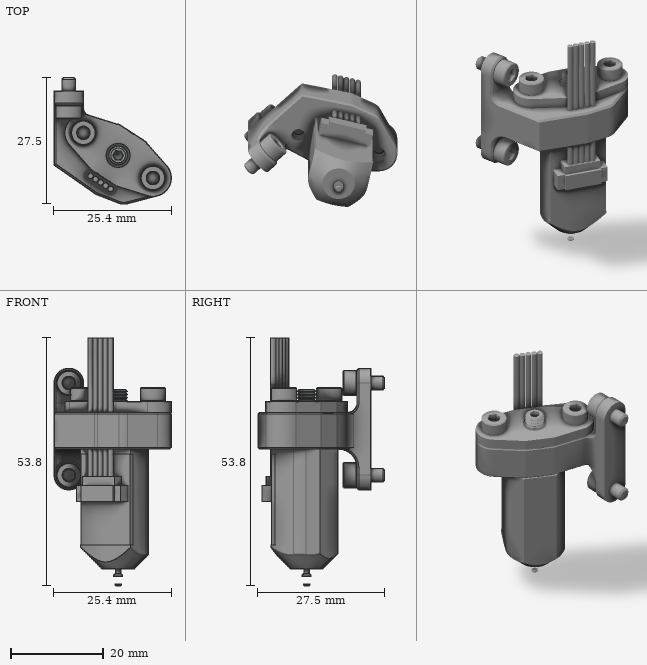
import cadquery as cq
import math

PROBE_ANGLE = -33.0

SHANK_D = 3.0
SHANK_LENGTH = 6.0
TIP_CHAMFER = 0.4
HEAD_D = 5.5
HEAD_HEIGHT = 3.0
HEAD_CHAMFER = 0.2
SOCKET_FLATS = 2.5
SOCKET_DEPTH = 2.2
SOCKET_MOUTH_D = 2.9
CLEARANCE_D = 3.2
HEAD_CLEARANCE_D = 6.3

SLAB_THICKNESS = 8.0
EDGE_CHAMFER = 0.4
PLATE_LEFT = -13.9
PLATE_RADIUS = 3.2
PLATE_BACK = 13.93
PLATE_THICKNESS = 3.0
MOUNT_SPACING = 20.0
UPPER_MOUNT_Z = 6.36
UPPER_FILLET = 2.0
LOWER_FILLET = 4.0
SIDE_FILLET = 1.5
STEM_LENGTH = 5.0
FRONT_FILLET = 3.0
LEFT_CORNER = (PLATE_LEFT, -2.1)
FRONT_LEFT_CORNER = (-4.82, -8.45)
FRONT_CORNER = (1.05, -10.74)

PLATE_RIGHT = PLATE_LEFT + 2 * PLATE_RADIUS
PLATE_CENTRE_X = PLATE_LEFT + PLATE_RADIUS
PLATE_FRONT = PLATE_BACK - PLATE_THICKNESS
LOWER_MOUNT_Z = UPPER_MOUNT_Z - MOUNT_SPACING

FLANGE_THICKNESS = 2.34
FLANGE_SPACING = 18.0
FLANGE_SCREW_U = (-FLANGE_SPACING / 2, FLANGE_SPACING / 2)
FLANGE_END_R = 4.0
FLANGE_HALF_DEPTH = 5.77
FLANGE_FLAT_HALF = 3.2
NECK_D = 11.0
BODY_HALF_WIDTH = 6.5
BODY_FRONT = -5.0
BODY_SHOULDER = 0.82
BODY_ROUND_R = 4.1
BODY_ROUND_ANGLE = 40.0
BODY_BOTTOM = -33.97
CONE_ROUNDING = 0.25
CONE_TIP_R = 3.5
PIN_D = 1.2
PIN_DISC_BOTTOM = -35.65
PIN_DISC_D = 2.0
PIN_DISC_HEIGHT = 0.3
PIN_FLARE = 0.4
THREAD_MAJOR_R = 2.0
THREAD_MINOR_R = 1.6
THREAD_PITCH = 0.7
THREAD_TURNS = 4
SET_SCREW_HEIGHT = 2.58
SET_SCREW_SOCKET = 2.0
SET_SCREW_SOCKET_DEPTH = 1.5
RECESS_D = 5.2
RECESS_DEPTH = 0.2

COVER_TOP = -9.04
COVER_BOTTOM = -28.78
COVER_THICKNESS = 1.0
COVER_HALF_WIDTH = 6.38
HOUSING_TOP = -13.9
HOUSING_STEP = -15.85
HOUSING_BOTTOM = -19.4
HOUSING_HALF_WIDTH = 5.75
HOUSING_FRONT = -7.82
RIB_HALF_WIDTH = 4.1
RIB_FRONT = -8.45
WIRE_D = 1.2
WIRE_COUNT = 5
WIRE_PITCH = 1.3
WIRE_V = -7.0
WIRE_TOP = 16.16

TIP_BOTTOM = -37.64
TIP_HEIGHT = 0.4
TIP_D = 1.4
TIP_END_CHAMFER = 0.2


def box(left, right, front, back, bottom, top):
    """Box given by its six faces."""
    size = (right - left, back - front, top - bottom)
    return cq.Workplane("XY").box(*size, centered=False).translate((left, front, bottom))


def cylinder(diameter, bottom, top, x=0.0):
    """Upright cylinder."""
    return cq.Workplane("XY", origin=(x, 0, bottom)).circle(diameter / 2).extrude(top - bottom)


def cone(diameter, top):
    """Upright 45-degree cone with its point down and its widest end at the given height."""
    radius = diameter / 2
    tip_point = cq.Vector(0, 0, top - radius)
    return cq.Workplane("XY").add(cq.Solid.makeCone(0, radius, radius, pnt=tip_point))


def turned(shape):
    """Turn a shape built along X and Y so that it lies along the probe's U and V."""
    return shape.rotate((0, 0, 0), (0, 0, 1), PROBE_ANGLE)


def in_place(u, v):
    """X and Y of a point given along the probe's U and V."""
    a = math.radians(PROBE_ANGLE)
    return (u * math.cos(a) - v * math.sin(a), u * math.sin(a) + v * math.cos(a))


def make_flange_plate():
    """Rounded ends joined by tangent lines to a flat on the front and on the back."""
    end_x = FLANGE_SPACING / 2
    to_corner_x = end_x - FLANGE_FLAT_HALF
    lean = math.atan2(FLANGE_HALF_DEPTH, to_corner_x)
    spread = math.acos(FLANGE_END_R / math.hypot(to_corner_x, FLANGE_HALF_DEPTH))
    normal = math.pi - lean - spread
    tangent_x = end_x + FLANGE_END_R * math.cos(normal)
    tangent_y = FLANGE_END_R * math.sin(normal)
    far_x = end_x + FLANGE_END_R
    return (
        cq.Workplane("XY")
        .moveTo(-FLANGE_FLAT_HALF, FLANGE_HALF_DEPTH)
        .lineTo(FLANGE_FLAT_HALF, FLANGE_HALF_DEPTH)
        .lineTo(tangent_x, tangent_y)
        .threePointArc((far_x, 0), (tangent_x, -tangent_y))
        .lineTo(FLANGE_FLAT_HALF, -FLANGE_HALF_DEPTH)
        .lineTo(-FLANGE_FLAT_HALF, -FLANGE_HALF_DEPTH)
        .lineTo(-tangent_x, -tangent_y)
        .threePointArc((-far_x, 0), (-tangent_x, tangent_y))
        .close()
        .extrude(FLANGE_THICKNESS)
    )


def make_screw():
    """Socket-head screw along Z, with its head resting on Z = 0 and its shank below."""
    head = cylinder(HEAD_D, 0, HEAD_HEIGHT).faces("<Z or >Z").chamfer(HEAD_CHAMFER)
    shank = cylinder(SHANK_D, -SHANK_LENGTH, 0).faces("<Z").chamfer(TIP_CHAMFER)
    socket = (
        cq.Workplane("XY", origin=(0, 0, HEAD_HEIGHT))
        .polygon(6, SOCKET_FLATS, circumscribed=True)
        .extrude(-SOCKET_DEPTH)
    )
    mouth = cone(SOCKET_MOUTH_D, HEAD_HEIGHT)
    return head.union(shank).cut(socket).cut(mouth)


def wire_positions():
    """Centres of the wires, in a row along U."""
    first = -WIRE_PITCH * (WIRE_COUNT - 1) / 2
    return [(first + i * WIRE_PITCH, WIRE_V) for i in range(WIRE_COUNT)]


def make_wires(bottom, top):
    """Row of round wires, used for the wires and for their holes in the bracket."""
    return (
        cq.Workplane("XY", origin=(0, 0, bottom))
        .pushPoints(wire_positions())
        .circle(WIRE_D / 2)
        .extrude(top - bottom)
    )


def tangent_point(corner, centre, radius, side):
    """Where a line from a corner touches a circle, counterclockwise (+1) or clockwise (-1) of it."""
    dx = corner[0] - centre[0]
    dy = corner[1] - centre[1]
    a = math.atan2(dy, dx) + side * math.acos(radius / math.hypot(dx, dy))
    return (centre[0] + radius * math.cos(a), centre[1] + radius * math.sin(a))


def make_slab():
    """Horizontal slab under the flange, reaching back to the mounting plate."""
    end = in_place(FLANGE_SPACING / 2, 0)
    start_end = in_place(-FLANGE_SPACING / 2, 0)
    back_right = in_place(FLANGE_FLAT_HALF, FLANGE_HALF_DEPTH)
    back_left = in_place(-FLANGE_FLAT_HALF, FLANGE_HALF_DEPTH)
    front_touch = tangent_point(FRONT_CORNER, end, FLANGE_END_R, 1)
    back_touch = tangent_point(back_right, end, FLANGE_END_R, -1)
    far_end = in_place(FLANGE_SPACING / 2 + FLANGE_END_R, 0)
    left_touch = tangent_point(back_left, start_end, FLANGE_END_R, 1)
    slope = (left_touch[1] - back_left[1]) / (left_touch[0] - back_left[0])
    side_corner = (PLATE_RIGHT, back_left[1] + slope * (PLATE_RIGHT - back_left[0]))
    slab = (
        cq.Workplane("XY", origin=(0, 0, -SLAB_THICKNESS))
        .moveTo(PLATE_LEFT, PLATE_BACK)
        .lineTo(*LEFT_CORNER)
        .lineTo(*FRONT_LEFT_CORNER)
        .lineTo(*FRONT_CORNER)
        .lineTo(*front_touch)
        .threePointArc(far_end, back_touch)
        .lineTo(*back_right)
        .lineTo(*back_left)
        .lineTo(*side_corner)
        .lineTo(PLATE_RIGHT, PLATE_BACK)
        .close()
        .extrude(SLAB_THICKNESS)
    )
    middle = -SLAB_THICKNESS / 2
    for corner in (FRONT_LEFT_CORNER, FRONT_CORNER):
        slab = slab.edges(cq.NearestToPointSelector((*corner, middle))).fillet(FRONT_FILLET)
    return slab.edges(cq.NearestToPointSelector((*side_corner, middle))).fillet(SIDE_FILLET)


def make_plate():
    """Upright plate with round ends, joined to a stem of the slab by a concave fillet above and below."""
    length = MOUNT_SPACING + 2 * PLATE_RADIUS
    plate = (
        cq.Workplane("XZ", origin=(PLATE_CENTRE_X, PLATE_BACK, (UPPER_MOUNT_Z + LOWER_MOUNT_Z) / 2))
        .slot2D(length, 2 * PLATE_RADIUS, 90)
        .extrude(PLATE_THICKNESS)
    )
    stem = box(PLATE_LEFT, PLATE_RIGHT, PLATE_FRONT - STEM_LENGTH, PLATE_FRONT, -SLAB_THICKNESS, 0)
    plate = plate.union(stem)
    for level, radius in ((0, UPPER_FILLET), (-SLAB_THICKNESS, LOWER_FILLET)):
        corner = cq.NearestToPointSelector((PLATE_CENTRE_X, PLATE_FRONT, level))
        plate = plate.edges(corner).fillet(radius)
    tolerance = 0.01
    room = length + SLAB_THICKNESS
    rim = cq.selectors.BoxSelector(
        (PLATE_LEFT - room, PLATE_FRONT - STEM_LENGTH + tolerance, -room),
        (PLATE_RIGHT + room, PLATE_FRONT + tolerance, room),
    )
    crossing = cq.selectors.BoxSelector(
        (PLATE_CENTRE_X - tolerance, -room, LOWER_MOUNT_Z),
        (PLATE_CENTRE_X + tolerance, room, UPPER_MOUNT_Z),
    )
    return plate.edges(rim - crossing).chamfer(EDGE_CHAMFER)


def facing_front(shape, z):
    """Lay an upright shape down so that its top faces -Y, with its origin on the plate's front face."""
    return shape.rotate((0, 0, 0), (1, 0, 0), 90).translate((PLATE_CENTRE_X, PLATE_FRONT, z))


def make_bracket():
    """Slab and plate with the holes for the probe's neck, the wires and the screws."""
    slab = make_slab().faces("<Z or >Z").chamfer(EDGE_CHAMFER)
    bracket = slab.union(make_plate()).clean()
    neck_hole = cylinder(NECK_D, -SLAB_THICKNESS, 0)
    neck_bevel = cone(NECK_D + 2 * EDGE_CHAMFER, 0)
    bracket = bracket.cut(neck_hole).cut(neck_bevel)
    bracket = bracket.cut(turned(make_wires(-SLAB_THICKNESS, 0)))
    for x in FLANGE_SCREW_U:
        bracket = bracket.cut(turned(cylinder(SHANK_D, -SLAB_THICKNESS, 0, x)))
    for z in (UPPER_MOUNT_Z, LOWER_MOUNT_Z):
        hole = cylinder(CLEARANCE_D, -PLATE_THICKNESS, 0)
        head_room = cylinder(HEAD_CLEARANCE_D, 0, HEAD_HEIGHT)
        bracket = bracket.cut(facing_front(hole.union(head_room), z))
    return bracket


def make_body():
    """Flat-fronted probe body with a rounded back, ending in a cone."""
    round_x = BODY_HALF_WIDTH - BODY_ROUND_R
    a = math.radians(BODY_ROUND_ANGLE)
    half = a / 2
    mid = (round_x + BODY_ROUND_R * math.cos(half), BODY_SHOULDER + BODY_ROUND_R * math.sin(half))
    end = (round_x + BODY_ROUND_R * math.cos(a), BODY_SHOULDER + BODY_ROUND_R * math.sin(a))
    back_x = end[0] - (FLANGE_HALF_DEPTH - end[1]) * math.tan(a)
    body = (
        cq.Workplane("XY", origin=(0, 0, BODY_BOTTOM))
        .moveTo(-BODY_HALF_WIDTH, BODY_FRONT)
        .lineTo(BODY_HALF_WIDTH, BODY_FRONT)
        .lineTo(BODY_HALF_WIDTH, BODY_SHOULDER)
        .threePointArc(mid, end)
        .lineTo(back_x, FLANGE_HALF_DEPTH)
        .lineTo(-back_x, FLANGE_HALF_DEPTH)
        .lineTo(-end[0], end[1])
        .threePointArc((-mid[0], mid[1]), (-BODY_HALF_WIDTH, BODY_SHOULDER))
        .close()
        .extrude(-SLAB_THICKNESS - BODY_BOTTOM)
    )
    cone_top_r = CONE_TIP_R - SLAB_THICKNESS - BODY_BOTTOM
    nose = (
        cq.Workplane("XZ")
        .moveTo(0, BODY_BOTTOM)
        .lineTo(CONE_TIP_R, BODY_BOTTOM)
        .lineTo(cone_top_r, -SLAB_THICKNESS)
        .lineTo(0, -SLAB_THICKNESS)
        .close()
        .revolve(360, (0, 0, 0), (0, 1, 0))
    )
    body = body.intersect(nose)
    nose_edge_z = BODY_BOTTOM + BODY_HALF_WIDTH - CONE_TIP_R
    nose_edge = cq.NearestToPointSelector((BODY_HALF_WIDTH, 0, nose_edge_z))
    return body.edges(nose_edge).fillet(CONE_ROUNDING)


def make_set_screw():
    """Threaded stub on top of the flange, with ring-shaped threads and a socket ending in a cone."""
    top = FLANGE_THICKNESS + SET_SCREW_HEIGHT
    profile = cq.Workplane("XZ").moveTo(0, 0).lineTo(THREAD_MINOR_R, 0)
    first = top - THREAD_TURNS * THREAD_PITCH
    for i in range(THREAD_TURNS):
        root = first + i * THREAD_PITCH
        profile = profile.lineTo(THREAD_MINOR_R, root)
        profile = profile.lineTo(THREAD_MAJOR_R, root + THREAD_PITCH / 2)
    profile = profile.lineTo(THREAD_MINOR_R, top).lineTo(0, top).close()
    screw = profile.revolve(360, (0, 0, 0), (0, 1, 0))
    socket_bottom = top - SET_SCREW_SOCKET_DEPTH
    socket = (
        cq.Workplane("XY", origin=(0, 0, socket_bottom))
        .polygon(6, SET_SCREW_SOCKET, circumscribed=True)
        .extrude(SET_SCREW_SOCKET_DEPTH)
    )
    return screw.cut(socket).cut(cone(SET_SCREW_SOCKET, socket_bottom))


def make_pin():
    """Pin under the nose, flaring into a thin disc."""
    flare_bottom = PIN_DISC_BOTTOM + PIN_DISC_HEIGHT
    return (
        cq.Workplane("XZ")
        .moveTo(0, BODY_BOTTOM)
        .lineTo(PIN_D / 2, BODY_BOTTOM)
        .lineTo(PIN_D / 2, flare_bottom + PIN_FLARE)
        .lineTo(PIN_DISC_D / 2, flare_bottom)
        .lineTo(PIN_DISC_D / 2, PIN_DISC_BOTTOM)
        .lineTo(0, PIN_DISC_BOTTOM)
        .close()
        .revolve(360, (0, 0, 0), (0, 1, 0))
    )


def cover_slab(half_width):
    """Flat panel flush with the body's front face, used for the cover and for the notch it fills."""
    back = BODY_FRONT + COVER_THICKNESS
    return box(-half_width, half_width, BODY_FRONT, back, COVER_BOTTOM, COVER_TOP)


def make_probe():
    """Flange, neck and body in one piece, with the set screw on top and the pin below."""
    flange = make_flange_plate()
    flange = flange.cut(cylinder(RECESS_D, FLANGE_THICKNESS - RECESS_DEPTH, FLANGE_THICKNESS))
    for x in FLANGE_SCREW_U:
        flange = flange.cut(cylinder(CLEARANCE_D, 0, FLANGE_THICKNESS, x))
    probe = make_body().cut(cover_slab(BODY_HALF_WIDTH))
    probe = probe.union(cylinder(NECK_D, -SLAB_THICKNESS, 0))
    return probe.union(flange).union(make_set_screw()).union(make_pin())


def make_cover():
    """Cover panel in the body's front face, carrying the connector and its wires."""
    def connector_block(half_width, front, bottom, top):
        return box(-half_width, half_width, front, BODY_FRONT, bottom, top)

    housing = connector_block(HOUSING_HALF_WIDTH, HOUSING_FRONT, HOUSING_BOTTOM, HOUSING_STEP)
    rib = connector_block(RIB_HALF_WIDTH, RIB_FRONT, HOUSING_BOTTOM, HOUSING_STEP)
    collar = connector_block(RIB_HALF_WIDTH, HOUSING_FRONT, HOUSING_STEP, HOUSING_TOP)
    cover = cover_slab(COVER_HALF_WIDTH).union(housing).union(rib).union(collar)
    return cover.union(make_wires(HOUSING_TOP, WIRE_TOP))


def make_tip():
    """Small bevelled disc below the pin, standing clear of it."""
    tip = cylinder(TIP_D, TIP_BOTTOM, TIP_BOTTOM + TIP_HEIGHT)
    return tip.faces("<Z").chamfer(TIP_END_CHAMFER)


bracket = make_bracket()
probe = turned(make_probe())
cover = turned(make_cover())
tip = make_tip()
screw = make_screw()
flange_screws = [screw.translate((*in_place(x, 0), FLANGE_THICKNESS)) for x in FLANGE_SCREW_U]
mount_screws = [facing_front(screw, z) for z in (UPPER_MOUNT_Z, LOWER_MOUNT_Z)]

result = cq.Compound.makeCompound(
    [bracket.val(), probe.val(), cover.val(), tip.val()]
    + [placed.val() for placed in flange_screws + mount_screws]
)